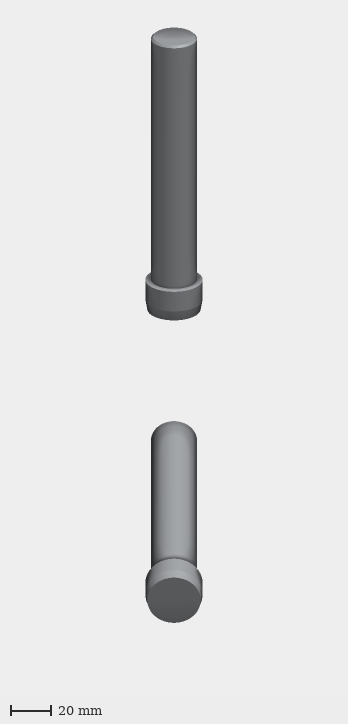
import cadquery as cq
import math

total_height = 150.0
shaft_radius = 23.0 / 2
shaft_chamfer = 1.0

collar_radius = 28.5 / 2
collar_rim_height = 16.2
shoulder_rise = 0.38
taper_height = 5.4
taper_angle = 10.0
foot_radius = collar_radius - taper_height * math.tan(math.radians(taper_angle))


def make_shaft():
    """Full-length round shaft with a chamfered top edge."""
    return (
        cq.Workplane("XY")
        .circle(shaft_radius)
        .extrude(total_height)
        .faces(">Z")
        .chamfer(shaft_chamfer)
    )


def make_collar():
    """Ring fitted on the shaft, with a sloped shoulder and a tapered lower flank."""
    return (
        cq.Workplane("XZ")
        .moveTo(shaft_radius, 0)
        .lineTo(foot_radius, 0)
        .lineTo(collar_radius, taper_height)
        .lineTo(collar_radius, collar_rim_height)
        .lineTo(shaft_radius, collar_rim_height + shoulder_rise)
        .close()
        .revolve(360, (0, 0, 0), (0, 1, 0))
    )


shaft = make_shaft()
collar = make_collar()

result = cq.Compound.makeCompound([shaft.val(), collar.val()])